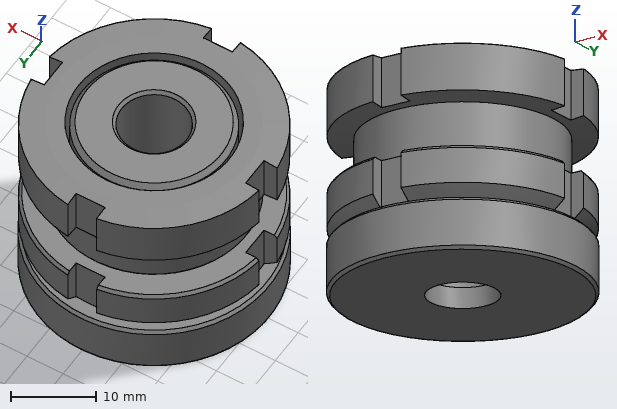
import cadquery as cq
import math

base_radius = 16.0
base_height = 6.5
total_height = 26.0
edge_chamfer = 0.4

bore_radius = 4.48
bore_chamfer = 0.4

seat_radius = 24.0

flange_radius = 15.95
flange_rim_bottom = 8.25
flange_top = 13.0
post_radius = 9.92
post_chamfer = 0.65

nut_bore_radius = 10.45
neck_radius = 12.8
head_bottom = 19.5
head_taper_drop = 0.32

slot_width = 4.0
slot_floor_radius = 14.0
slot_count = 4

seat_center_z = flange_rim_bottom + math.sqrt(seat_radius**2 - flange_radius**2)


def seat_height(radius):
    """Height of the spherical seat at a distance from the axis."""
    return seat_center_z - math.sqrt(seat_radius**2 - radius**2)


def revolve_profile(profile):
    """Turn a closed (radius, height) profile around the Z axis."""
    return profile.close().revolve(360, (0, 0, 0), (0, 1, 0))


def cut_wrench_slots(body, bottom, top):
    """Cut evenly spaced slots into the rim between two heights."""
    slot_length = base_radius - slot_floor_radius
    for i in range(slot_count):
        slot = (
            cq.Workplane("XY", origin=(0, 0, bottom))
            .center(slot_floor_radius + slot_length / 2, 0)
            .rect(slot_length, slot_width)
            .extrude(top - bottom)
            .rotate((0, 0, 0), (0, 0, 1), i * 360 / slot_count)
        )
        body = body.cut(slot)
    return body


def make_base():
    """Chamfered disc with a concave spherical seat and a through bore."""
    seat_mouth_radius = math.sqrt(seat_radius**2 - (seat_center_z - base_height) ** 2)
    middle_radius = (bore_radius + seat_mouth_radius) / 2
    profile = (
        cq.Workplane("XZ")
        .moveTo(bore_radius, 0)
        .lineTo(base_radius - edge_chamfer, 0)
        .lineTo(base_radius, edge_chamfer)
        .lineTo(base_radius, base_height - edge_chamfer)
        .lineTo(base_radius - edge_chamfer, base_height)
        .lineTo(seat_mouth_radius, base_height)
        .threePointArc((middle_radius, seat_height(middle_radius)), (bore_radius, seat_height(bore_radius)))
    )
    return revolve_profile(profile)


def make_spindle():
    """Bored post on a slotted flange whose underside is a convex sphere."""
    middle_radius = (bore_radius + flange_radius) / 2
    profile = (
        cq.Workplane("XZ")
        .moveTo(bore_radius, seat_height(bore_radius))
        .threePointArc((middle_radius, seat_height(middle_radius)), (flange_radius, flange_rim_bottom))
        .lineTo(flange_radius, flange_top - edge_chamfer)
        .lineTo(flange_radius - edge_chamfer, flange_top)
        .lineTo(post_radius, flange_top)
        .lineTo(post_radius, total_height - post_chamfer)
        .lineTo(post_radius - post_chamfer, total_height)
        .lineTo(bore_radius + bore_chamfer, total_height)
        .lineTo(bore_radius, total_height - bore_chamfer)
    )
    return cut_wrench_slots(revolve_profile(profile), 0, flange_top)


def make_nut():
    """Slotted head, slightly tapered on both faces, above a plain neck."""
    profile = (
        cq.Workplane("XZ")
        .moveTo(nut_bore_radius, flange_top)
        .lineTo(neck_radius - edge_chamfer, flange_top)
        .lineTo(neck_radius, flange_top + edge_chamfer)
        .lineTo(neck_radius, head_bottom)
        .lineTo(flange_radius, head_bottom + head_taper_drop)
        .lineTo(flange_radius, total_height - head_taper_drop)
        .lineTo(neck_radius, total_height)
        .lineTo(nut_bore_radius, total_height)
    )
    return cut_wrench_slots(revolve_profile(profile), head_bottom, total_height)


base = make_base()
spindle = make_spindle()
nut = make_nut()

result = cq.Compound.makeCompound([base.val(), spindle.val(), nut.val()])